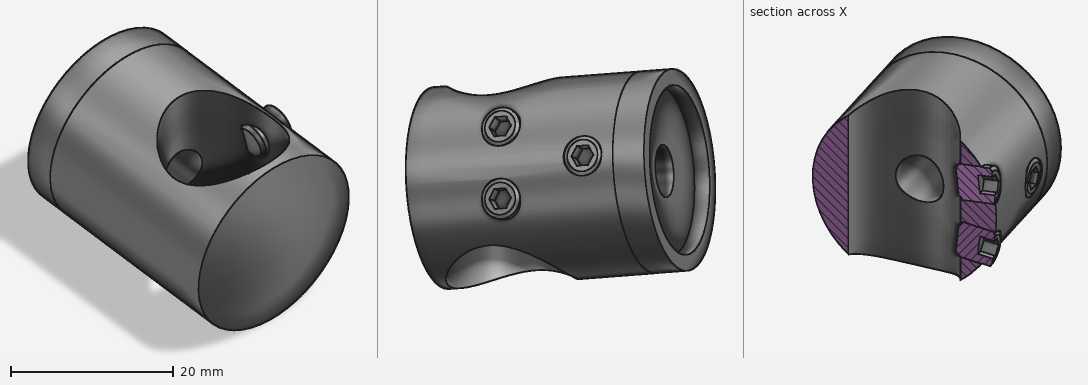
import cadquery as cq
import math

outer_radius = 12.5
overall_length = 33.6
dome_height = 2.2
shoulder_x = overall_length - dome_height

ring_length = 4.1
ring_inner_radius = 10.5
spigot_recess = 2.0

stud_hole_radius = 3.25
rail_bore_radius = 8.15
rail_bore_x = 22.1

screw_radius = 2.5
screw_length = 5.0
screw_chamfer_width = 0.5
outer_chamfer_height = 0.25
inner_chamfer_height = 0.5
socket_flats = 2.5
socket_depth = 2.0

stud_screw_x = 8.1
stud_screw_face_y = outer_radius

rail_screw_x = 19.1
rail_screw_face_y = 12.1
rail_screw_face_z = 4.55
rail_screw_tilt = 6.0


def screw_plane(x, face_y, face_z, tilt):
    """Plane on a screw's outer face, with its normal pointing out along the screw axis."""
    angle = math.radians(tilt)
    return cq.Plane(
        origin=(x, face_y, face_z),
        xDir=(1, 0, 0),
        normal=(0, math.cos(angle), math.sin(angle)),
    )


screw_planes = [screw_plane(stud_screw_x, stud_screw_face_y, 0, 0)]
for side in (1, -1):
    screw_planes.append(
        screw_plane(rail_screw_x, rail_screw_face_y, side * rail_screw_face_z, side * rail_screw_tilt)
    )


def make_ring():
    """Plain ring that continues the body's outer diameter to the mounting face."""
    return cq.Workplane("YZ").circle(outer_radius).circle(ring_inner_radius).extrude(ring_length)


def make_screw_hole(plane):
    """Plain hole from outside the body down to the screw's inner end."""
    inner_end = cq.Workplane(plane).workplane(offset=-screw_length)
    return inner_end.circle(screw_radius).extrude(2 * screw_length)


def make_body():
    """Domed cylinder with a spigot for the ring, cut by the rail bore, stud hole and screw holes."""
    dome_radius = (outer_radius**2 + dome_height**2) / (2 * dome_height)
    dome_mid_angle = math.asin(outer_radius / dome_radius) / 2
    dome_mid = (
        overall_length - dome_radius * (1 - math.cos(dome_mid_angle)),
        dome_radius * math.sin(dome_mid_angle),
    )
    body = (
        cq.Workplane("XZ")
        .moveTo(spigot_recess, 0)
        .lineTo(spigot_recess, ring_inner_radius)
        .lineTo(ring_length, ring_inner_radius)
        .lineTo(ring_length, outer_radius)
        .lineTo(shoulder_x, outer_radius)
        .threePointArc(dome_mid, (overall_length, 0))
        .close()
        .revolve(360, (0, 0, 0), (1, 0, 0))
    )
    rail_bore = (
        cq.Workplane("XY", origin=(rail_bore_x, 0, -outer_radius))
        .circle(rail_bore_radius)
        .extrude(2 * outer_radius)
    )
    stud_hole = cq.Workplane("YZ").circle(stud_hole_radius).extrude(rail_bore_x)
    body = body.cut(rail_bore).cut(stud_hole)
    for plane in screw_planes:
        body = body.cut(make_screw_hole(plane))
    return body


def make_screw(plane):
    """Headless screw, chamfered at both ends, with a hexagon socket in its outer face."""
    end_radius = screw_radius - screw_chamfer_width
    blank = (
        cq.Workplane("XZ")
        .lineTo(end_radius, 0)
        .lineTo(screw_radius, -outer_chamfer_height)
        .lineTo(screw_radius, inner_chamfer_height - screw_length)
        .lineTo(end_radius, -screw_length)
        .lineTo(0, -screw_length)
        .close()
        .revolve(360, (0, 0, 0), (0, 1, 0))
    )
    socket_corners = socket_flats / math.cos(math.pi / 6)
    socket = cq.Workplane("XY").polygon(6, socket_corners).extrude(-socket_depth)
    return blank.cut(socket).val().moved(cq.Location(plane))


ring = make_ring()
body = make_body()
screws = [make_screw(plane) for plane in screw_planes]

result = cq.Compound.makeCompound([ring.val(), body.val(), *screws])